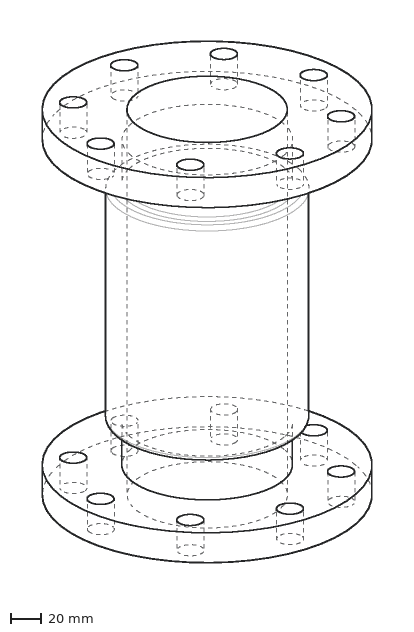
import cadquery as cq

total_height = 282.0
bore_diameter = 107.0
neck_diameter = 114.0

flange_diameter = 220.0
flange_thickness = 22.0
bolt_circle_diameter = 180.0
bolt_hole_diameter = 18.0
bolt_hole_count = 8

sleeve_diameter = 135.6
sleeve_length = 172.0
sleeve_edge_radius = 3.0
sleeve_root_radius = 2.3


def cylinder(diameter, length, bottom):
    return cq.Workplane("XY").workplane(offset=bottom).circle(diameter / 2).extrude(length)


def flange(bottom):
    """Flange disc with bolt holes straddling the X and Y axes."""
    half_spacing = 360 / bolt_hole_count / 2
    holes = (
        cq.Workplane("XY")
        .workplane(offset=bottom)
        .polarArray(bolt_circle_diameter / 2, half_spacing, 360, bolt_hole_count)
        .circle(bolt_hole_diameter / 2)
        .extrude(flange_thickness)
    )
    return cylinder(flange_diameter, flange_thickness, bottom).cut(holes)


def sleeve():
    """Central sleeve with rounded outer edges, blended into the necks at both ends."""
    neck_radius = neck_diameter / 2
    sleeve_radius = sleeve_diameter / 2
    end = sleeve_length / 2
    upper_half = (
        cq.Workplane("XZ")
        .lineTo(sleeve_radius, 0)
        .lineTo(sleeve_radius, end - sleeve_edge_radius)
        .radiusArc((sleeve_radius - sleeve_edge_radius, end), -sleeve_edge_radius)
        .lineTo(neck_radius + sleeve_root_radius, end)
        .radiusArc((neck_radius, end + sleeve_root_radius), sleeve_root_radius)
        .lineTo(0, end + sleeve_root_radius)
        .close()
        .revolve(360, (0, 0), (0, 1))
    )
    return upper_half.union(upper_half.mirror("XY"))


half_height = total_height / 2
pipe = cylinder(neck_diameter, total_height, -half_height)
bore = cylinder(bore_diameter, total_height, -half_height)

result = (
    pipe.union(sleeve())
    .union(flange(-half_height))
    .union(flange(half_height - flange_thickness))
    .cut(bore)
    .clean()
)